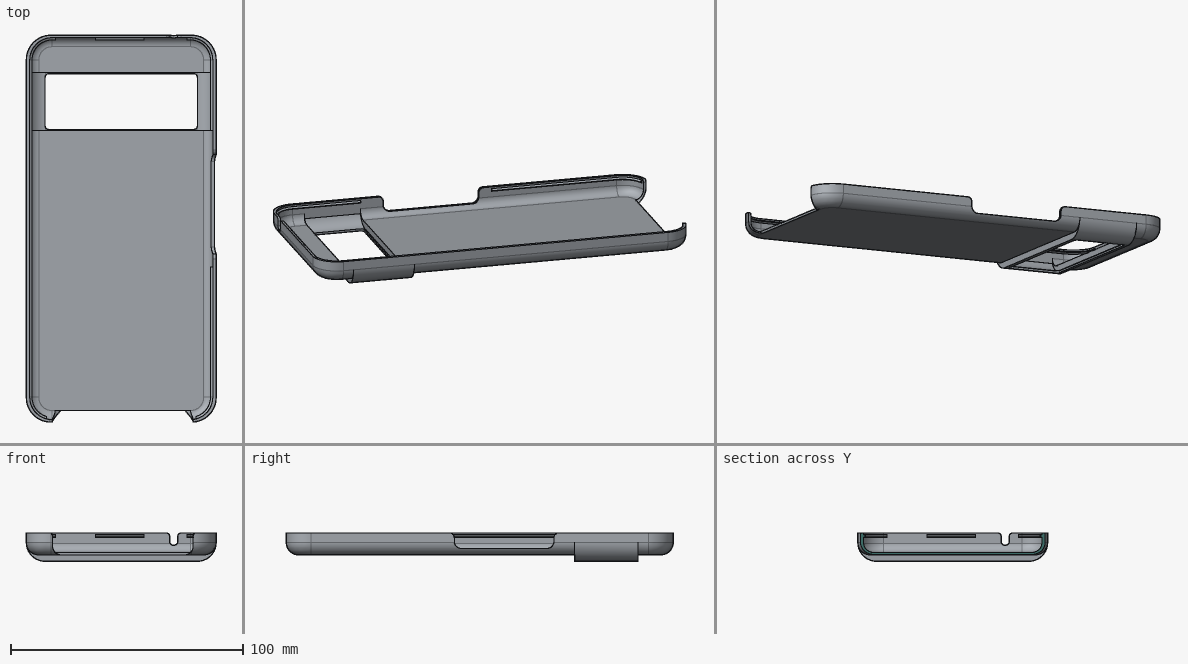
import cadquery as cq
import math


WIDTH = 81.87
LENGTH = 166.77
TOTAL_HEIGHT = 12.3
TRAY_DEPTH = 9.5
CORNER_RADIUS = 10.7
INNER_CORNER_RADIUS = 9.7
STRAIGHT_WALL = 4.1
SIDE_WALL = 1.5
END_WALL = 1.1
FLOOR = 1.1
INNER_FILLET = 3.9

RIM_Z = TOTAL_HEIGHT
TRAY_BOTTOM_Z = RIM_Z - TRAY_DEPTH
FLOOR_Z = TRAY_BOTTOM_Z + FLOOR
OUTER_FILLET = TRAY_DEPTH - STRAIGHT_WALL
INNER_WIDTH = WIDTH - 2 * SIDE_WALL
INNER_LENGTH = LENGTH - 2 * END_WALL
BACK_Y = LENGTH / 2
FRONT_Y = -LENGTH / 2

HOUSING_BACK_Y = BACK_Y - 15.2
HOUSING_LENGTH = 27.3
HOUSING_RADIUS = TOTAL_HEIGHT - STRAIGHT_WALL
HOUSING_FLOOR = 1.0
HOUSING_BACK_WALL = 0.9
HOUSING_FRONT_WALL = 1.3
WINDOW_WIDTH = 65.5
WINDOW_LEDGE = 0.6
WINDOW_CORNER_RADIUS = 1.5

BEAD_HEIGHT = 1.2
BEAD_DEPTH = 1.0
BEAD_EMBED = 0.4
BEAD_DROP = 1.35
BACK_BEAD_LEFT_X = -11.1
BACK_BEAD_RIGHT_X = 9.8
CORNER_BEAD_INNER_X = 28.4
FRONT_BEAD_INNER_X = 32.2
BUTTON_BEAD_GAP_BACK_Y = BACK_Y - 41.2
BUTTON_BEAD_GAP_FRONT_Y = BACK_Y - 100.0

FRONT_OPENING_X = 0.7
FRONT_OPENING_WIDTH = 60.6
FRONT_OPENING_CORNER = 3.8
FRONT_OPENING_FLARE = 1.2
FRONT_OPENING_REACH = END_WALL + INNER_FILLET
BACK_NOTCH_X = 22.6
BACK_NOTCH_WIDTH = 3.4
BACK_NOTCH_DEPTH = 5.3
BACK_NOTCH_FLARE = 1.5
BACK_NOTCH_CORNER = 1.65
BUTTON_NOTCH_Y = BACK_Y - 72.9
BUTTON_NOTCH_WIDTH = 42.9
BUTTON_NOTCH_DEPTH = 6.7
BUTTON_NOTCH_FLARE = 2.0
BUTTON_NOTCH_CORNER = 3.0

CUT_REACH = 8.0
CLEARANCE = 1.0


def rounded_slab(width, length, radius, bottom_z, height):
    """Upright rectangular slab with rounded vertical edges."""
    slab = cq.Workplane("XY", origin=(0, 0, bottom_z)).rect(width, length).extrude(height)
    return slab.edges("|Z").fillet(radius)


def block(x_range, y_range, z_range):
    """Box spanning the given (low, high) ranges."""
    spans = [high - low for low, high in (x_range, y_range, z_range)]
    corner = (x_range[0], y_range[0], z_range[0])
    return cq.Workplane("XY", origin=corner).box(*spans, centered=False)


def housing_prism(radius, back_y, length):
    """Prism along Y whose lower edges are arcs about the housing edge axis."""
    half_flat = WIDTH / 2 - HOUSING_RADIUS
    top_z = HOUSING_RADIUS
    bottom_z = top_z - radius
    diagonal = radius * math.sqrt(0.5)
    return (
        cq.Workplane("XZ", origin=(0, back_y, 0))
        .moveTo(-half_flat - radius, top_z)
        .threePointArc((-half_flat - diagonal, top_z - diagonal), (-half_flat, bottom_z))
        .lineTo(half_flat, bottom_z)
        .threePointArc((half_flat + diagonal, top_z - diagonal), (half_flat + radius, top_z))
        .close()
        .extrude(length)
    )


def notch_outline(plane, width, depth, flare, corner):
    """Open-topped notch with rounded lips and rounded lower corners.

    The plane's origin is at the rim, on the centre line of the notch.
    """
    half = width / 2
    flare_mid = flare * (1 - math.sqrt(0.5))
    corner_mid = corner * (1 - math.sqrt(0.5))
    return (
        plane.moveTo(-half - flare, CLEARANCE)
        .lineTo(-half - flare, 0)
        .threePointArc((-half - flare_mid, -flare_mid), (-half, -flare))
        .lineTo(-half, corner - depth)
        .threePointArc((-half + corner_mid, corner_mid - depth), (corner - half, -depth))
        .lineTo(half - corner, -depth)
        .threePointArc((half - corner_mid, corner_mid - depth), (half, corner - depth))
        .lineTo(half, -flare)
        .threePointArc((half + flare_mid, -flare_mid), (half + flare, 0))
        .lineTo(half + flare, CLEARANCE)
        .close()
    )


def make_shell():
    """Tray and camera housing, hollowed out, with the camera window."""
    tray = rounded_slab(WIDTH, LENGTH, CORNER_RADIUS, TRAY_BOTTOM_Z, TRAY_DEPTH)
    tray = tray.faces("<Z").edges().fillet(OUTER_FILLET)
    cavity = rounded_slab(
        INNER_WIDTH, INNER_LENGTH, INNER_CORNER_RADIUS, FLOOR_Z, RIM_Z - FLOOR_Z + CLEARANCE
    )
    cavity = cavity.faces("<Z").edges().fillet(INNER_FILLET)

    pocket_back_y = HOUSING_BACK_Y - HOUSING_BACK_WALL
    pocket_length = HOUSING_LENGTH - HOUSING_BACK_WALL - HOUSING_FRONT_WALL
    pocket_centre_y = pocket_back_y - pocket_length / 2
    housing = housing_prism(HOUSING_RADIUS, HOUSING_BACK_Y, HOUSING_LENGTH)
    pocket = housing_prism(HOUSING_RADIUS - HOUSING_FLOOR, pocket_back_y, pocket_length)
    inner_limit = cq.Workplane("XY").box(INNER_WIDTH, LENGTH, 2 * TOTAL_HEIGHT)
    pocket = pocket.intersect(inner_limit)

    window = rounded_slab(
        WINDOW_WIDTH, pocket_length - 2 * WINDOW_LEDGE, WINDOW_CORNER_RADIUS, -CLEARANCE, TOTAL_HEIGHT
    ).translate((0, pocket_centre_y, 0))
    return tray.union(housing).cut(cavity).cut(pocket).cut(window)


def make_bead():
    """Triangular snap bead, interrupted along the back wall, the front and the buttons."""
    half_height = BEAD_HEIGHT / 2
    middle_z = RIM_Z - BEAD_DROP
    ring = rounded_slab(
        INNER_WIDTH + 2 * BEAD_EMBED,
        INNER_LENGTH + 2 * BEAD_EMBED,
        INNER_CORNER_RADIUS + BEAD_EMBED,
        middle_z - half_height,
        BEAD_HEIGHT,
    )
    tip_width = INNER_WIDTH - 2 * BEAD_DEPTH
    tip_length = INNER_LENGTH - 2 * BEAD_DEPTH
    tip_radius = INNER_CORNER_RADIUS - BEAD_DEPTH
    tip_outline = cq.Sketch().rect(tip_width, tip_length).vertices().fillet(tip_radius)
    flank_angle = math.degrees(math.atan2(BEAD_DEPTH, half_height))
    for direction in (1, -1):
        flank = (
            cq.Workplane("XY", origin=(0, 0, middle_z))
            .placeSketch(tip_outline)
            .extrude(direction * half_height, taper=-flank_angle)
        )
        ring = ring.cut(flank)

    bead_z = (middle_z - BEAD_HEIGHT, middle_z + BEAD_HEIGHT)
    back_band = (BACK_Y - CUT_REACH, BACK_Y)
    front_band = (FRONT_Y, FRONT_Y + CUT_REACH)
    button_gap = (BUTTON_BEAD_GAP_FRONT_Y, BUTTON_BEAD_GAP_BACK_Y)
    gaps = [
        block((-CORNER_BEAD_INNER_X, BACK_BEAD_LEFT_X), back_band, bead_z),
        block((BACK_BEAD_RIGHT_X, CORNER_BEAD_INNER_X), back_band, bead_z),
        block((-FRONT_BEAD_INNER_X, FRONT_BEAD_INNER_X), front_band, bead_z),
        block((WIDTH / 2 - CUT_REACH, WIDTH / 2), button_gap, bead_z),
    ]
    for gap in gaps:
        ring = ring.cut(gap)
    return ring


def cut_front_opening(body):
    """Wide opening through the front wall, its lower corners running out at the tray's bottom."""
    plane = cq.Workplane("XZ", origin=(FRONT_OPENING_X, FRONT_Y + FRONT_OPENING_REACH, RIM_Z))
    opening = notch_outline(
        plane, FRONT_OPENING_WIDTH, TRAY_DEPTH, FRONT_OPENING_FLARE, FRONT_OPENING_CORNER
    )
    return body.cut(opening.extrude(CUT_REACH))


def cut_back_notch(body):
    """Narrow notch with a nearly semicircular bottom in the back wall."""
    plane = cq.Workplane("XZ", origin=(BACK_NOTCH_X, BACK_Y + CLEARANCE, RIM_Z))
    notch = notch_outline(
        plane, BACK_NOTCH_WIDTH, BACK_NOTCH_DEPTH, BACK_NOTCH_FLARE, BACK_NOTCH_CORNER
    )
    return body.cut(notch.extrude(CUT_REACH))


def cut_button_notch(body):
    """Long notch in the right-hand wall for the side buttons."""
    plane = cq.Workplane("YZ", origin=(WIDTH / 2 - CUT_REACH, BUTTON_NOTCH_Y, RIM_Z))
    notch = notch_outline(
        plane, BUTTON_NOTCH_WIDTH, BUTTON_NOTCH_DEPTH, BUTTON_NOTCH_FLARE, BUTTON_NOTCH_CORNER
    )
    return body.cut(notch.extrude(CUT_REACH + CLEARANCE))


case = make_shell().union(make_bead())
case = cut_front_opening(case)
case = cut_back_notch(case)
result = cut_button_notch(case)